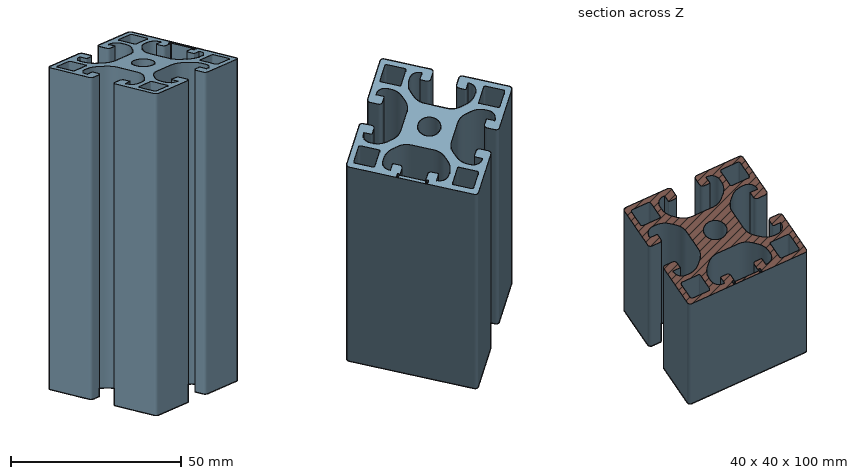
import cadquery as cq
import math

WIDTH = 40.0
LENGTH = 100.0
HALF = WIDTH / 2
CORNER_RADIUS = 1.0

BORE_DIAMETER = 6.8

FLOOR_DEPTH = 7.7
LIP_THICKNESS = 4.5
LIP_DEPTH = HALF - LIP_THICKNESS
MOUTH_HALF = 3.9
LIP_EDGE_RADIUS = 1.0
LIP_HEEL_RADIUS = 0.3
HOOK_HALF = 7.0
HOOK_DEPTH = 18.0
POCKET_HALF = 10.0
HOOK_RADIUS = 2.7
FLANK_OFFSET = 2.1
FLOOR_RADIUS = 5.2
WALL_RADIUS = 5.5

CHAMBER_INNER = 11.8
CHAMBER_OUTER = 18.2
CHAMBER_RADIUS = 0.6
CHAMBER_INNER_RADIUS = 0.3

COVER_THICKNESS = 1.0
FILM_THICKNESS = 0.4
NOTCH_INNER = 4.1
NOTCH_OUTER = 4.7
NOTCH_BASE_THICKNESS = 1.4

SLOT_ANGLES = (0, 90, 180, 270)


def prism(sketch):
    return sketch.extrude(LENGTH)


def block(x_min, x_max, y_min, y_max):
    """Full-length block between the given limits."""
    centre = ((x_min + x_max) / 2, (y_min + y_max) / 2)
    return prism(cq.Workplane("XY").center(*centre).rect(x_max - x_min, y_max - y_min))


def turned(body, angle):
    return body.rotate((0, 0, 0), (0, 0, 1), angle)


def arc_middle(start, end, radius, centre):
    """Midpoint of the shorter arc from start to end."""
    x = (start[0] + end[0]) / 2 - centre[0]
    y = (start[1] + end[1]) / 2 - centre[1]
    stretch = radius / math.hypot(x, y)
    return (centre[0] + x * stretch, centre[1] + y * stretch)


def slot_pocket():
    """Undercut pocket of the -Y slot, from its floor out to the hook recesses."""
    tangent_ratio = math.tan(math.radians(45 / 2))
    floor_trim = FLOOR_RADIUS * tangent_ratio
    wall_trim = WALL_RADIUS * tangent_ratio
    diagonal = math.sqrt(0.5)

    floor_corner = FLOOR_DEPTH - FLANK_OFFSET
    wall_corner = POCKET_HALF + FLANK_OFFSET
    floor_end = (floor_corner - floor_trim, FLOOR_DEPTH)
    flank_start = (floor_corner + floor_trim * diagonal, FLOOR_DEPTH + floor_trim * diagonal)
    flank_end = (POCKET_HALF - wall_trim * diagonal, wall_corner - wall_trim * diagonal)
    wall_start = (POCKET_HALF, wall_corner + wall_trim)
    hook_end = (POCKET_HALF - HOOK_RADIUS, HOOK_DEPTH)
    wall_end = (POCKET_HALF, HOOK_DEPTH - HOOK_RADIUS)
    floor_centre = (floor_end[0], FLOOR_DEPTH + FLOOR_RADIUS)
    wall_centre = (POCKET_HALF - WALL_RADIUS, wall_start[1])
    hook_centre = (hook_end[0], wall_end[1])

    right_half = prism(
        cq.Workplane("XY")
        .moveTo(0, FLOOR_DEPTH)
        .lineTo(*floor_end)
        .threePointArc(arc_middle(floor_end, flank_start, FLOOR_RADIUS, floor_centre), flank_start)
        .lineTo(*flank_end)
        .threePointArc(arc_middle(flank_end, wall_start, WALL_RADIUS, wall_centre), wall_start)
        .lineTo(*wall_end)
        .threePointArc(arc_middle(wall_end, hook_end, HOOK_RADIUS, hook_centre), hook_end)
        .lineTo(0, HOOK_DEPTH)
        .close()
    )
    return turned(right_half.union(right_half.mirror("YZ")), 180)


def slot_lip():
    """Hook that narrows the mouth of the -Y slot on its +X side."""
    lip = block(MOUTH_HALF, HOOK_HALF, -HALF, -LIP_DEPTH)
    lip = lip.edges("|Z and <X").fillet(LIP_EDGE_RADIUS)
    return lip.edges("|Z and >X and >Y").fillet(LIP_HEEL_RADIUS)


def open_slot():
    """Material removed by the -Y slot."""
    mouth = block(-HOOK_HALF, HOOK_HALF, -HALF, -LIP_DEPTH)
    lip = slot_lip()
    return slot_pocket().union(mouth).cut(lip).cut(lip.mirror("YZ"))


def slot_cover():
    """Strip across the mouth of the +Y slot, reaching over the rounded lip edges."""
    cover_half = MOUTH_HALF + LIP_EDGE_RADIUS
    return block(-cover_half, cover_half, HALF - COVER_THICKNESS, HALF)


def cover_notch():
    """Break-out notch between the cover and the +X lip of the +Y slot."""
    return block(NOTCH_INNER, NOTCH_OUTER, HALF - NOTCH_BASE_THICKNESS, HALF - FILM_THICKNESS)


def chamber():
    """Hollow in the +X +Y corner; its edge nearest the bore is the sharpest."""
    body = block(CHAMBER_INNER, CHAMBER_OUTER, CHAMBER_INNER, CHAMBER_OUTER)
    body = body.edges("|Z and (>X or >Y)").fillet(CHAMBER_RADIUS)
    return body.edges("|Z").edges("<(1, 1, 0)").fillet(CHAMBER_INNER_RADIUS)


result = block(-HALF, HALF, -HALF, HALF).edges("|Z").fillet(CORNER_RADIUS)
slot = open_slot()
corner_chamber = chamber()
for angle in SLOT_ANGLES:
    result = result.cut(turned(slot, angle))
    result = result.cut(turned(corner_chamber, angle))

notch = cover_notch()
result = result.union(slot_cover()).cut(notch).cut(notch.mirror("YZ"))
result = result.cut(prism(cq.Workplane("XY").circle(BORE_DIAMETER / 2)))